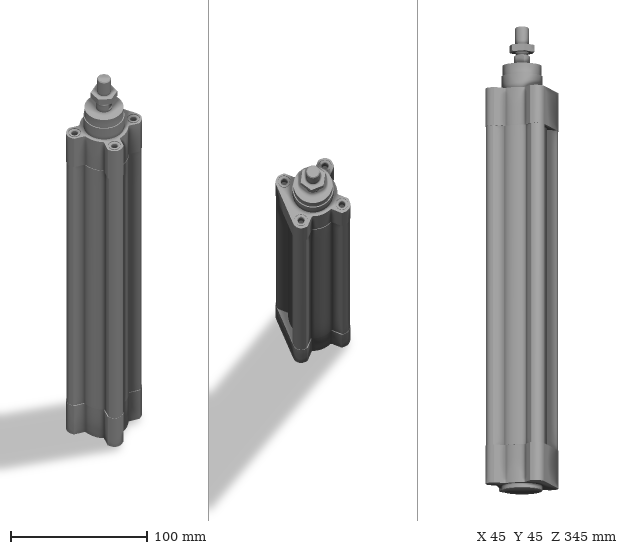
import cadquery as cq
import math

total_height = 345.0
collar_length = 3.5
cap_height = 28.3
barrel_length = 237.8
neck_base_height = 10.7
neck_top_height = 8.0
rear_cap_z = collar_length
barrel_z = rear_cap_z + cap_height
front_cap_z = barrel_z + barrel_length
neck_z = front_cap_z + cap_height
neck_step_z = neck_z + neck_base_height
neck_top_z = neck_step_z + neck_top_height

lug_spacing = 32.5
lug_center = lug_spacing / 2
cap_width = 45.0
cap_bulge_radius = 18.0
cap_lug_half_width = 6.2
barrel_width = 44.5
barrel_bulge_radius = 18.3
barrel_lug_half_width = 5.5
barrel_edge_fillet = 1.5
barrel_root_fillet = 0.7
cap_edge_fillet = 1.0
cap_root_fillet = 1.5
position_tolerance = 0.005

collar_diameter = 30.0
rear_collar_chamfer = 0.5
neck_top_diameter = 28.5
neck_waist_diameter = 28.3

screw_recess_diameter = 9.5
screw_recess_depth = 0.7
screw_head_diameter = 8.3
screw_thread_diameter = 6.0
screw_core_diameter = 5.0
screw_core_depth = 7.0
drill_tip_depth = 1.5

rod_diameter = 12.0
thread_diameter = 10.0
thread_chamfer = 0.7
undercut_diameter = 8.3
undercut_length = 0.7
undercut_runout = 1.0
undercut_z = 324.0
shoulder_chamfer = 1.0
flat_width = 10.0
flat_bottom_z = 318.0

nut_width = 17.0
nut_height = 5.2
nut_z = 326.5
nut_corner_diameter = nut_width / math.cos(math.radians(30))
nut_chamfer_radial = 0.7
nut_chamfer_height = 0.5


def fillet_long_edges(bar, axis_distance, radius):
    """Round the Z edges that lie at one distance from the axis."""

    def at_distance(edge):
        center = edge.Center()
        return abs(math.hypot(center.x, center.y) - axis_distance) < position_tolerance

    return bar.edges("|Z").filter(at_distance).fillet(radius)


def make_lugged_bar(width, bulge_radius, lug_half_width, edge_fillet, root_fillet, z, length):
    """Round bar with four diagonal lugs; the flanks end in small fillets."""
    half = width / 2
    offset = lug_half_width * math.sqrt(2)
    root_near = (math.sqrt(2 * bulge_radius**2 - offset**2) - offset) / 2
    root_far = root_near + offset
    lug_edge = half - offset
    corner_radius = half - lug_center
    corner_mid = lug_center + corner_radius * math.sqrt(0.5)

    def turned(point, quarter):
        x, y = point
        for _ in range(quarter):
            x, y = -y, x
        return (x, y)

    profile = cq.Workplane("XY", origin=(0, 0, z)).moveTo(root_far, -root_near)
    for quarter in range(4):
        profile = (
            profile.threePointArc(turned((bulge_radius, 0), quarter), turned((root_far, root_near), quarter))
            .lineTo(*turned((half, lug_edge), quarter))
            .lineTo(*turned((half, lug_center), quarter))
            .threePointArc(turned((corner_mid, corner_mid), quarter), turned((lug_center, half), quarter))
            .lineTo(*turned((lug_edge, half), quarter))
            .lineTo(*turned((root_near, root_far), quarter))
        )
    bar = profile.close().extrude(length)
    bar = fillet_long_edges(bar, math.hypot(half, lug_edge), edge_fillet)
    return fillet_long_edges(bar, bulge_radius, root_fillet)


def make_cap(z):
    """End cap with lugs at the corners and a plain flat +Y side."""
    cap = make_lugged_bar(
        cap_width,
        cap_bulge_radius,
        cap_lug_half_width,
        cap_edge_fillet,
        cap_root_fillet,
        z,
        cap_height,
    )
    flat_side = (
        cq.Workplane("XY", origin=(0, cap_width / 4, z))
        .rect(lug_spacing, cap_width / 2)
        .extrude(cap_height)
    )
    return cap.union(flat_side)


def make_neck():
    """Front collar, with a shallow concave waist above the step."""
    step_radius = collar_diameter / 2
    top_radius = neck_top_diameter / 2
    waist_point = (neck_waist_diameter / 2, (neck_step_z + neck_top_z) / 2)
    return (
        cq.Workplane("XZ")
        .moveTo(0, neck_z)
        .lineTo(step_radius, neck_z)
        .lineTo(step_radius, neck_step_z)
        .lineTo(top_radius, neck_step_z)
        .threePointArc(waist_point, (top_radius, neck_top_z))
        .lineTo(0, neck_top_z)
        .close()
        .revolve(360, (0, 0, 0), (0, 1, 0))
    )


def make_screw_socket():
    """Ring gap around a screw head, plus the screw's chamfered blind thread hole."""
    gap = (
        cq.Workplane("XY", origin=(0, 0, neck_z - screw_recess_depth))
        .circle(screw_recess_diameter / 2)
        .circle(screw_head_diameter / 2)
        .extrude(screw_recess_depth)
    )
    core_radius = screw_core_diameter / 2
    mouth_radius = screw_thread_diameter / 2
    hole = (
        cq.Workplane("XZ")
        .moveTo(0, neck_z)
        .lineTo(mouth_radius, neck_z)
        .lineTo(core_radius, neck_z - (mouth_radius - core_radius))
        .lineTo(core_radius, neck_z - screw_core_depth)
        .lineTo(0, neck_z - screw_core_depth - drill_tip_depth)
        .close()
        .revolve(360, (0, 0, 0), (0, 1, 0))
    )
    return gap.add(hole).combine()


def make_housing():
    rear_collar = (
        cq.Workplane("XY")
        .circle(collar_diameter / 2)
        .extrude(collar_length)
        .faces("<Z")
        .chamfer(rear_collar_chamfer)
    )
    barrel = make_lugged_bar(
        barrel_width,
        barrel_bulge_radius,
        barrel_lug_half_width,
        barrel_edge_fillet,
        barrel_root_fillet,
        barrel_z,
        barrel_length,
    )
    housing = make_cap(rear_cap_z).union(rear_collar).union(barrel).union(make_cap(front_cap_z))
    housing = housing.union(make_neck())
    rod_hole = cq.Workplane("XY", origin=(0, 0, neck_z)).circle(rod_diameter / 2).extrude(neck_top_z - neck_z)
    housing = housing.cut(rod_hole)
    for x in (-lug_center, lug_center):
        for y in (-lug_center, lug_center):
            housing = housing.cut(make_screw_socket().translate((x, y, 0)))
    return housing


def make_rod():
    """Piston rod with wrench flats, an undercut and a threaded end."""
    rod_radius = rod_diameter / 2
    thread_radius = thread_diameter / 2
    undercut_radius = undercut_diameter / 2
    rod = (
        cq.Workplane("XZ")
        .moveTo(0, neck_z)
        .lineTo(rod_radius, neck_z)
        .lineTo(rod_radius, undercut_z - shoulder_chamfer)
        .lineTo(rod_radius - shoulder_chamfer, undercut_z)
        .lineTo(undercut_radius, undercut_z)
        .lineTo(undercut_radius, undercut_z + undercut_length)
        .lineTo(thread_radius, undercut_z + undercut_length + undercut_runout)
        .lineTo(thread_radius, total_height - thread_chamfer)
        .lineTo(thread_radius - thread_chamfer, total_height)
        .lineTo(0, total_height)
        .close()
        .revolve(360, (0, 0, 0), (0, 1, 0))
    )
    flat_height = undercut_z - flat_bottom_z
    flats = (
        cq.Workplane("XY", origin=(0, 0, flat_bottom_z))
        .rect(2 * rod_diameter, rod_diameter)
        .rect(flat_width, rod_diameter)
        .extrude(flat_height)
    )
    return rod.cut(flats)


def make_nut():
    """Hexagon nut with two corners on the Y axis and its lower corners turned off."""
    corner_radius = nut_corner_diameter / 2
    hexagon = (
        cq.Workplane("XY", origin=(0, 0, nut_z))
        .transformed(rotate=(0, 0, 90))
        .polygon(6, nut_corner_diameter)
        .circle(thread_diameter / 2)
        .extrude(nut_height)
    )
    turned_blank = (
        cq.Workplane("XZ")
        .moveTo(0, nut_z)
        .lineTo(corner_radius - nut_chamfer_radial, nut_z)
        .lineTo(corner_radius, nut_z + nut_chamfer_height)
        .lineTo(corner_radius, nut_z + nut_height)
        .lineTo(0, nut_z + nut_height)
        .close()
        .revolve(360, (0, 0, 0), (0, 1, 0))
    )
    return hexagon.intersect(turned_blank)


housing = make_housing()
rod = make_rod()
nut = make_nut()

result = cq.Compound.makeCompound([housing.val(), rod.val(), nut.val()])